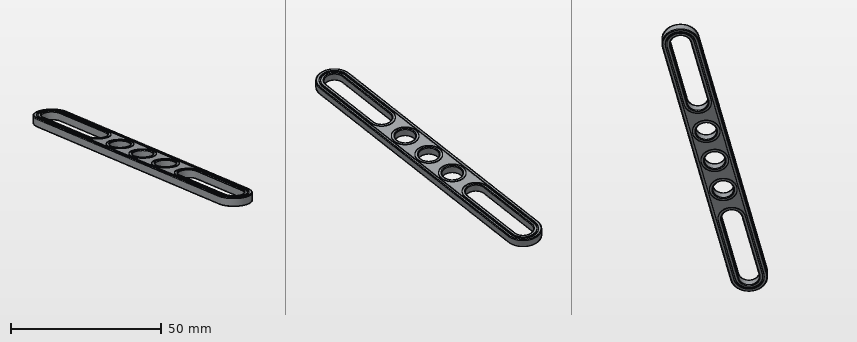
import cadquery as cq

length = 112.5
pitch_count = 9
hole_diameter = 7.0
rim_width = 1.1
recess_depth = 0.2
edge_chamfer = 0.28

pitch = length / pitch_count
width = pitch
thickness = pitch / 4
slot_travel = 2 * pitch
rim_diameter = hole_diameter + 2 * rim_width
hole_centers = [(-pitch, 0), (0, 0), (pitch, 0)]
slot_centers = [(-3 * pitch, 0), (3 * pitch, 0)]


def openings(diameter, height):
    """Solids in the shape of the three middle holes and the two end slots."""
    holes = cq.Workplane("XY").pushPoints(hole_centers).circle(diameter / 2).extrude(height)
    slots = (
        cq.Workplane("XY")
        .pushPoints(slot_centers)
        .slot2D(slot_travel + diameter, diameter)
        .extrude(height)
    )
    return holes.union(slots)


def plate():
    """Round-ended bar with its openings, chamfered along every edge of both faces."""
    bar = cq.Workplane("XY").slot2D(length, width).extrude(thickness)
    bar = bar.cut(openings(hole_diameter, thickness))
    return bar.faces("<Z or >Z").chamfer(edge_chamfer)


def recess():
    """Shallow field that leaves a raised rim along the outline and round each opening."""
    field = (
        cq.Workplane("XY")
        .slot2D(length - 2 * rim_width, width - 2 * rim_width)
        .extrude(recess_depth)
    )
    return field.cut(openings(rim_diameter, recess_depth))


bottom_recess = recess()
top_recess = bottom_recess.translate((0, 0, thickness - recess_depth))
result = plate().cut(bottom_recess).cut(top_recess)